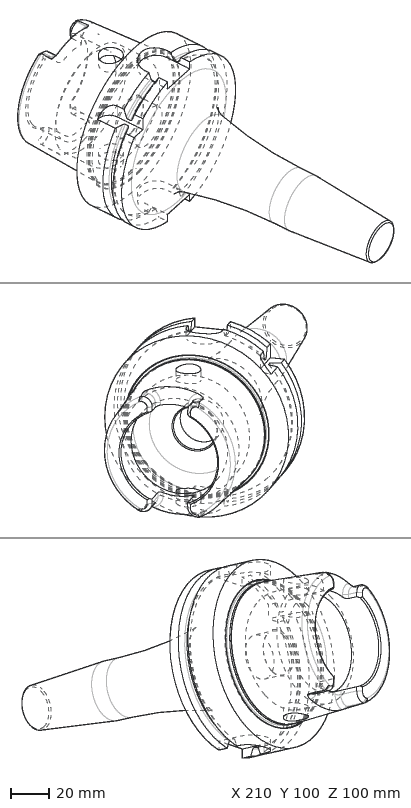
import cadquery as cq
import math


total_length = 210.0
shank_end_radius = 35.5
shank_taper = 0.05
shank_rounding = 2.0

relief_start = 47.5
relief_bottom = 48.0
relief_end = 48.7
relief_radius = 37.4
root_radius = 37.8
face_groove_rounding = 0.6
face_groove_depth = 1.3
face_groove_chamfer = 0.5

flange_start = 50.0
flange_end = 79.0
flange_radius = 50.0
groove_start = 66.8
groove_end = 73.3
groove_wall_width = 1.7
groove_floor_radius = 45.8
groove_fillet = 1.0

blend_start = 94.3
blend_end = 149.3
blend_radius = 245.7
waist_radius = 16.0
cone_start = 159.2
nose_radius = 12.0
nose_chamfer = 0.8

bore_radius = 26.2
bore_chamfer = 0.8
bore_length = 19.1
clamp_angle = 60.0
recess_radius = 31.5
recess_bottom = 46.8
recess_fillet = 6.7
coolant_radius = 11.8
coolant_chamfer = 0.6
coolant_depth = 12.5

cross_hole_radius = 6.5
cross_hole_position = 35.0

drive_half_width = 9.7
drive_depth_top = 9.9
drive_depth_bottom = 15.0
drive_edge_radius = 5.2
flare_half_width = 16.2
drive_edge_height = 26.7
drive_corner = 2.0

keyway_half_width = 9.7
keyway_start = 54.8
keyway_floor = 44.0
notch_inset = 31.3
notch_start = 55.2
notch_half_width = 7.4

clearance = 10.5


def make_outside():
    """Turned outer form, from the shank to the nose."""
    relief_edge_radius = shank_end_radius + shank_taper * relief_start
    face_groove_radius = root_radius + face_groove_rounding
    face_groove_centre = flange_start + face_groove_depth - face_groove_rounding
    face_groove_outer = face_groove_radius + face_groove_rounding

    blend_centre_radius = waist_radius + blend_radius
    blend_angle = math.asin((blend_end - blend_start) / blend_radius)
    blend_start_radius = blend_centre_radius - blend_radius * math.cos(blend_angle)
    blend_mid = (
        blend_end - blend_radius * math.sin(blend_angle / 2),
        blend_centre_radius - blend_radius * math.cos(blend_angle / 2),
    )

    fillet_radius = (blend_start - flange_end) / (1 - math.sin(blend_angle))
    fillet_centre = (
        flange_end + fillet_radius,
        blend_start_radius + fillet_radius * math.cos(blend_angle),
    )
    mid_angle = (math.pi / 2 + blend_angle) / 2
    fillet_mid = (
        fillet_centre[0] - fillet_radius * math.sin(mid_angle),
        fillet_centre[1] - fillet_radius * math.cos(mid_angle),
    )

    profile = (
        cq.Workplane("XY")
        .moveTo(0, 0)
        .lineTo(0, shank_end_radius)
        .lineTo(relief_start, relief_edge_radius)
        .lineTo(relief_bottom, relief_radius)
        .lineTo(relief_end, root_radius)
        .lineTo(face_groove_centre, root_radius)
        .threePointArc(
            (flange_start + face_groove_depth, face_groove_radius),
            (face_groove_centre, face_groove_outer),
        )
        .lineTo(flange_start + face_groove_chamfer, face_groove_outer)
        .lineTo(flange_start, face_groove_outer + face_groove_chamfer)
        .lineTo(flange_start, flange_radius)
        .lineTo(flange_end, flange_radius)
        .lineTo(flange_end, fillet_centre[1])
        .threePointArc(fillet_mid, (blend_start, blend_start_radius))
        .threePointArc(blend_mid, (blend_end, waist_radius))
        .lineTo(cone_start, waist_radius)
        .lineTo(total_length, nose_radius)
        .lineTo(total_length, 0)
        .close()
    )
    body = profile.revolve(360, (0, 0, 0), (1, 0, 0))
    body = body.faces("<X").edges().fillet(shank_rounding)
    return body.faces(">X").edges().chamfer(nose_chamfer)


def make_gripper_groove():
    """Ring with sloping walls and a filleted floor, to remove from the flange rim."""
    section = (
        cq.Workplane("XY")
        .moveTo(groove_start, flange_radius)
        .lineTo(groove_start + groove_wall_width, groove_floor_radius)
        .lineTo(groove_end - groove_wall_width, groove_floor_radius)
        .lineTo(groove_end, flange_radius)
        .lineTo(groove_end, flange_radius + clearance)
        .lineTo(groove_start, flange_radius + clearance)
        .close()
    )
    ring = section.revolve(360, (0, 0, 0), (1, 0, 0))
    return ring.edges(cq.selectors.RadiusNthSelector(0)).fillet(groove_fillet)


def make_cavity():
    """Turned hollow of the shank, as a solid to remove."""
    shoulder_length = (recess_radius - bore_radius) / math.tan(math.radians(clamp_angle))
    fillet_reach = recess_fillet * math.sin(math.pi / 4)
    fillet_mid = (
        recess_bottom - recess_fillet + fillet_reach,
        recess_radius - recess_fillet + fillet_reach,
    )
    profile = (
        cq.Workplane("XY")
        .moveTo(0, 0)
        .lineTo(0, bore_radius + bore_chamfer)
        .lineTo(bore_chamfer, bore_radius)
        .lineTo(bore_length, bore_radius)
        .lineTo(bore_length + shoulder_length, recess_radius)
        .lineTo(recess_bottom - recess_fillet, recess_radius)
        .threePointArc(fillet_mid, (recess_bottom, recess_radius - recess_fillet))
        .lineTo(recess_bottom, coolant_radius + coolant_chamfer)
        .lineTo(recess_bottom + coolant_chamfer, coolant_radius)
        .lineTo(recess_bottom + coolant_depth, coolant_radius)
        .lineTo(recess_bottom + coolant_depth, 0)
        .close()
    )
    return profile.revolve(360, (0, 0, 0), (1, 0, 0))


def drive_outline(start, growth):
    """Slot cross-section at X = start, flared over the shank wall and grown by growth."""
    edge_radius = drive_edge_radius - growth
    half_width = drive_half_width + growth
    edge_centre = drive_half_width + drive_edge_radius
    reach = edge_radius * math.sin(math.pi / 4)
    mid = (edge_centre - reach, drive_edge_height + reach)
    shoulder_height = drive_edge_height + edge_radius
    top = shank_end_radius + clearance
    return (
        cq.Workplane("YZ", origin=(start, 0, 0))
        .moveTo(-half_width, 0)
        .lineTo(half_width, 0)
        .lineTo(half_width, drive_edge_height)
        .threePointArc(mid, (edge_centre, shoulder_height))
        .lineTo(flare_half_width, shoulder_height)
        .lineTo(flare_half_width, top)
        .lineTo(-flare_half_width, top)
        .lineTo(-flare_half_width, shoulder_height)
        .lineTo(-edge_centre, shoulder_height)
        .threePointArc((-mid[0], mid[1]), (-half_width, drive_edge_height))
        .close()
    )


def make_drive_slot(depth):
    """Drive slot cutter on the +Z side, with filleted floor and chamfered mouth."""
    floor_edges = cq.selectors.BoxSelector(
        (depth - clearance, -shank_end_radius, clearance),
        (depth + clearance, shank_end_radius, shank_end_radius),
    )
    slot = drive_outline(0, 0).extrude(depth)
    slot = slot.faces(">X").edges(floor_edges).fillet(drive_corner)

    mouth_wire = drive_outline(0, drive_corner).val()
    slot_wire = drive_outline(drive_corner, 0).val()
    mouth = cq.Solid.makeLoft([mouth_wire, slot_wire], True)
    return slot.union(cq.Workplane(mouth))


def make_keyway(start, half_width, centre_y, floor):
    """Round-ended flat cut in the +Z side of the flange, open towards the nose."""
    round_centre = start + half_width
    return (
        cq.Workplane("XY", origin=(0, centre_y, floor))
        .moveTo(flange_end, -half_width)
        .lineTo(round_centre, -half_width)
        .threePointArc((start, 0), (round_centre, half_width))
        .lineTo(flange_end, half_width)
        .close()
        .extrude(clearance)
    )


def turned_over(cutter):
    """The same cutter, turned half a turn about the part axis."""
    return cutter.rotate((0, 0, 0), (1, 0, 0), 180)


cross_hole = (
    cq.Workplane("XY", origin=(cross_hole_position, 0, 0))
    .circle(cross_hole_radius)
    .extrude(shank_end_radius + clearance, both=True)
)
keyway = make_keyway(keyway_start, keyway_half_width, 0, keyway_floor)
notch_centre = -notch_inset - notch_half_width
notch = make_keyway(notch_start, notch_half_width, notch_centre, notch_inset)

result = (
    make_outside()
    .cut(make_gripper_groove())
    .cut(make_cavity())
    .cut(cross_hole)
    .cut(make_drive_slot(drive_depth_top))
    .cut(turned_over(make_drive_slot(drive_depth_bottom)))
    .cut(keyway)
    .cut(turned_over(keyway))
    .cut(notch)
)